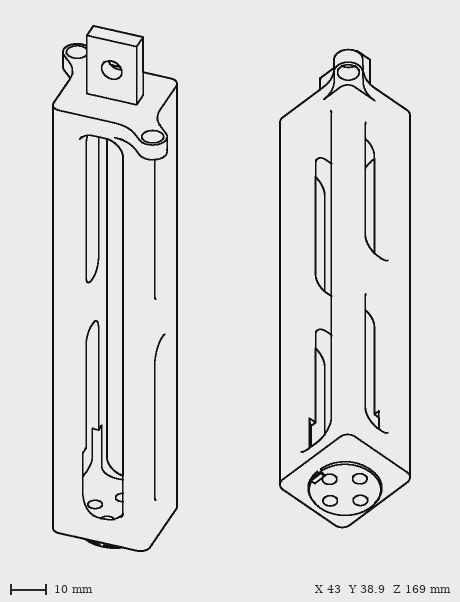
import cadquery as cq
import math

body_x = 29.0
body_y = 26.0
body_height = 145.0
corner_radius = 2.9

overall_x = 43.0
overall_y = 38.9
plate_thickness = 5.0
ear_diameter = 8.1
ear_hole = 6.0
ear_x = (overall_x - ear_diameter) / 2
ear_y = (overall_y - ear_diameter) / 2
ear_blend_radius = 10.5

tongue_x = 15.0
tongue_y = 5.0
tongue_height = 20.0
tongue_hole = 6.0

window_rounding = 2.0
front_width = 13.7
front_corner = 5.0
front_span = (6.0, 137.9)
side_width = 9.6
side_corner = 4.2
side_spans = ((11.0, 64.4), (80.0, 133.0))

socket_diameter = 20.0
socket_floor = 2.9
socket_top = 25.0
socket_fillet = 1.0
floor_hole = 4.0
floor_hole_circle = 12.0
floor_hole_count = 4

foot_height = 3.5
foot_diameter = 20.0
foot_end_corner = 9.8
flare_steps = 5

nub_x = 4.0
nub_y = 1.5
nub_height = 0.5
nub_center = (1.7, 9.0)


def rounded_block(size_x, size_y, height, radius):
    """Upright block standing on z = 0 with rounded vertical edges."""
    block = cq.Workplane("XY").box(size_x, size_y, height, centered=(True, True, False))
    return block.edges("|Z").fillet(radius)


def edge_box(low, high):
    """Selector for the edges that lie wholly inside a box, with a little slack."""
    slack = 0.08
    return cq.selectors.BoxSelector(
        tuple(value - slack for value in low),
        tuple(value + slack for value in high),
        boundingbox=True,
    )


def make_arm(side):
    """45 degree arm from inside the plate to a round ear; side is +1 for the +X -Y corner."""
    arm_length = math.hypot(ear_x, ear_y) / 2
    end = cq.Workplane("XY").circle(ear_diameter / 2).extrude(plate_thickness)
    bar = cq.Workplane("XY").box(arm_length, ear_diameter, plate_thickness, centered=(False, True, False))
    inward_angle = 135 if side > 0 else -45
    arm = end.union(bar.rotate((0, 0, 0), (0, 0, 1), inward_angle))
    return arm.translate((side * ear_x, -side * ear_y, 0))


def make_plate():
    plate = rounded_block(body_x, body_y, plate_thickness, corner_radius)
    for side in (1, -1):
        plate = plate.union(make_arm(side))

    flank_shift = ear_diameter / math.sqrt(2)
    inner_corners = (
        (body_x / 2, ear_x - ear_y + flank_shift - body_x / 2),
        (ear_x - ear_y - flank_shift + body_y / 2, -body_y / 2),
    )
    for side in (1, -1):
        for x, y in inner_corners:
            corner = edge_box((side * x, side * y, 0), (side * x, side * y, plate_thickness))
            plate = plate.edges(corner).fillet(ear_blend_radius)

    ears = [(ear_x, -ear_y), (-ear_x, ear_y)]
    holes = cq.Workplane("XY").pushPoints(ears).circle(ear_hole / 2).extrude(plate_thickness)
    return plate.cut(holes).translate((0, 0, body_height - plate_thickness))


def make_tongue():
    tongue = cq.Workplane("XY").box(tongue_x, tongue_y, tongue_height, centered=(True, True, False))
    tongue = tongue.faces(">Y").workplane(centerOption="CenterOfMass").hole(tongue_hole)
    return tongue.translate((0, 0, body_height))


def cut_window(solid, axis, width, corner, span):
    """Cut a rounded window right through along X or Y and round over both mouths."""
    bottom, top = span
    along_x = axis == "X"
    size_x, size_y = (body_x, width) if along_x else (width, body_y)
    window = cq.Workplane("XY").box(size_x, size_y, top - bottom, centered=(True, True, False))
    solid = solid.cut(window.edges("|" + axis).fillet(corner).translate((0, 0, bottom)))

    half = width / 2
    for side in (1, -1):
        if along_x:
            face = side * body_x / 2
            mouth = edge_box((face, -half, bottom), (face, half, top))
        else:
            face = side * body_y / 2
            mouth = edge_box((-half, face, bottom), (half, face, top))
        solid = solid.edges(mouth).fillet(window_rounding)
    return solid


def make_foot():
    """Loft whose overhang past the round end shrinks as a parabola, giving a concave flare."""
    sections = []
    for step in range(flare_steps + 1):
        drop = step / flare_steps
        overhang = (1 - drop) ** 2
        size_x = foot_diameter + (body_x - foot_diameter) * overhang
        size_y = foot_diameter + (body_y - foot_diameter) * overhang
        corner = foot_end_corner + (corner_radius - foot_end_corner) * overhang
        outline = cq.Sketch().rect(size_x, size_y).vertices().fillet(corner)
        sections.append(outline.moved(cq.Location(cq.Vector(0, 0, -foot_height * drop))))
    return cq.Workplane("XY").placeSketch(*sections).loft(ruled=True)


def make_socket():
    socket = cq.Workplane("XY").workplane(offset=socket_floor)
    socket = socket.circle(socket_diameter / 2).extrude(socket_top - socket_floor)
    return socket.faces("<Z").edges().fillet(socket_fillet)


def make_floor_holes():
    holes = cq.Workplane("XY").workplane(offset=-foot_height)
    holes = holes.polarArray(floor_hole_circle / 2, 0, 360, floor_hole_count)
    return holes.circle(floor_hole / 2).extrude(foot_height + socket_floor)


def make_nub():
    nub = cq.Workplane("XY").workplane(offset=-foot_height).center(*nub_center)
    return nub.rect(nub_x, nub_y).extrude(-nub_height)


column = rounded_block(body_x, body_y, body_height, corner_radius).union(make_plate())
column = cut_window(column, "Y", front_width, front_corner, front_span)
for side_span in side_spans:
    column = cut_window(column, "X", side_width, side_corner, side_span)

result = column.union(make_tongue()).union(make_foot())
result = result.cut(make_socket()).cut(make_floor_holes()).union(make_nub())